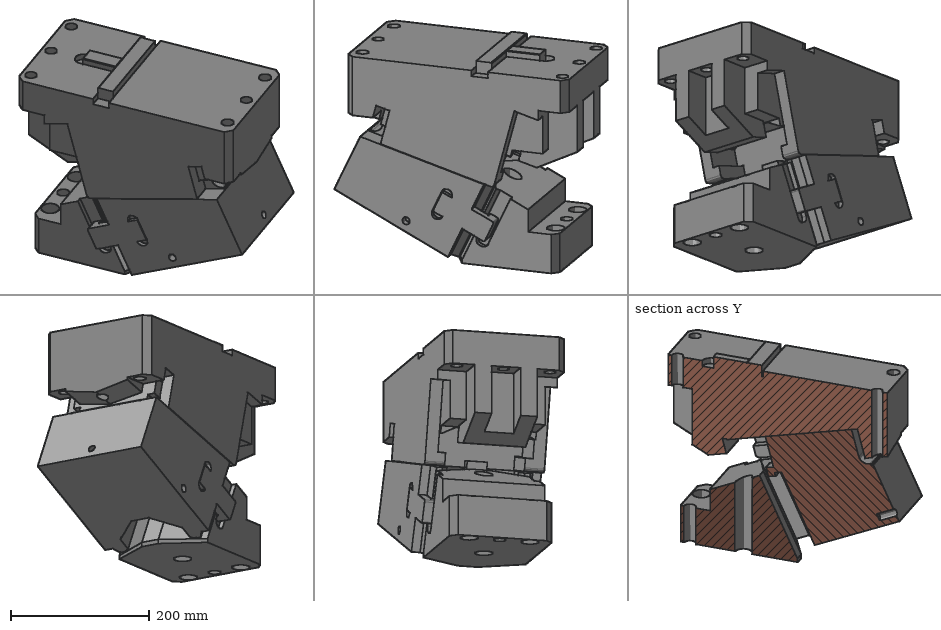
import cadquery as cq
import math


length = 359.0
width = 180.0
half_width = width / 2
key_top = 309.0
corner_chamfer = 10.0
corner_margin = 3.5
reach = 215.5

drive_angle = 25.4
cam_angle = 15.0
cos_d, sin_d = math.cos(math.radians(drive_angle)), math.sin(math.radians(drive_angle))
cos_c, sin_c = math.cos(math.radians(cam_angle)), math.sin(math.radians(cam_angle))
tan_c = sin_c / cos_c

slide_bottom_length = 194.3
slide_left_height = 129.3
slide_right_z = 94.8
slide_corner_x = length - slide_bottom_length * cos_d - slide_left_height * sin_d
slide_corner_z = slide_right_z - slide_bottom_length * sin_d + slide_left_height * cos_d
slide_top_length = slide_bottom_length / math.cos(math.radians(drive_angle - cam_angle))


def drive_point(u, v):
    """XZ point u along the drive slope and v up across it, from the slide's upper left corner."""
    return slide_corner_x + u * cos_d - v * sin_d, slide_corner_z + u * sin_d + v * cos_d


def cam_point(p, w):
    """XZ point p along the cam slope and w up across it, from the slide's upper left corner."""
    return slide_corner_x + p * cos_c - w * sin_c, slide_corner_z + p * sin_c + w * cos_c


def plate(points, y_low, y_high):
    """Solid with an XZ outline, between two Y values."""
    return cq.Workplane("XZ", origin=(0, y_low, 0)).polyline(points).close().extrude(y_low - y_high)


def wide_plate(points, half):
    """Solid with an XZ outline, centred on Y = 0."""
    return plate(points, -half, half)


def drive_block(u_range, v_range, y_range):
    """Block square to the drive slope."""
    (u0, u1), (v0, v1) = u_range, v_range
    corners = [drive_point(u0, v0), drive_point(u1, v0), drive_point(u1, v1), drive_point(u0, v1)]
    return plate(corners, *y_range)


def drive_prism(section, v_low, v_high):
    """Prism with a (u, y) section, running across the drive slope."""
    x, z = drive_point(0, v_low)
    plane = cq.Plane(origin=(x, 0, z), xDir=(cos_d, 0, sin_d), normal=(-sin_d, 0, cos_d))
    return cq.Workplane(plane).polyline(section).close().extrude(v_high - v_low)


def cam_prism(half_section, p_low, p_high):
    """Prism along the cam slope whose (y, w) section mirrors half_section about Y = 0."""
    x, z = cam_point(p_low, 0)
    plane = cq.Plane(origin=(x, 0, z), xDir=(0, 1, 0), normal=(cos_c, 0, sin_c))
    section = half_section + [(-y, w) for y, w in reversed(half_section) if y]
    return cq.Workplane(plane).polyline(section).close().extrude(p_high - p_low)


def edges_near(x, z, margin):
    """Selector of the edges near one XZ position, at any Y."""
    return cq.selectors.BoxSelector(
        (x - margin, -reach, z - margin), (x + margin, reach, z + margin)
    )


def drill_down(x, y, z_top, z_bottom, diameter):
    """Vertical hole tool."""
    return cq.Workplane("XY", origin=(x, y, z_bottom)).circle(diameter / 2).extrude(z_top - z_bottom)


def both_sides(make):
    """One solid at the -Y side and one at the +Y side; make takes the two Y signs in turn."""
    return make(-1).union(make(1))


def side_range(sign, inner, outer):
    """Low and high Y of a layer lying inner..outer from the middle, on one side."""
    return sorted((sign * inner, sign * outer))


ridge_u = 13.5
ridge_half = 14.5
base_half = 77.0
guide_edge_u = -18.0

rail_neck_half = 59.0
rail_wing_half = 70.0
rail_wing_bottom = 21.0
rail_shoulder = 47.5
rail_top = 57.5
rail_top_half = 49.2
rail_left = 38.8
rail_right = 178.0
rail_end_radius = 13.3
sill_height = 2.0
sill_right = 195.5
cavity_neck_half = 60.0
cavity_wing_half = 71.5
hook_top = 19.8
running_gap = 0.7


def base_guide(v_low, v_high):
    """Everything on the base side of the V guide."""
    section = [
        (-reach, -base_half), (guide_edge_u, -base_half), (ridge_u, -ridge_half),
        (ridge_u, ridge_half), (guide_edge_u, base_half), (-reach, base_half),
    ]
    return drive_prism(section, v_low, v_high)


holder_right = 341.0
holder_top = 299.5
flange_bottom = 250.0
web_left = 44.5
web_bottom = 179.0
cheek_left = -15.0
cheek_top = 125.0
cheek_radius = 5.5
slot_left = 165.2
slot_right = 186.8
slot_top = 54.5
foot_side_bottom = 210.0
foot_half = 54.0
foot_edge_w = 20.5
foot_ridge_w = 10.8
ceiling_lip = 7.5
cavity_left = -27.0
leg_width = 93.7
leg_tip = (62.5, 148.0)
leg_heel_run = 28.5
leg_notch_half = 22.0
leg_notch_depth = 37.0


def holder_outline():
    """XZ outline of flange, cheeks and right end."""
    x_notch, z_notch = cam_point(cheek_left, cheek_top)
    return [
        (0, holder_top), (0, flange_bottom), (web_left, flange_bottom),
        (web_left, z_notch - (x_notch - web_left) * tan_c), (x_notch, z_notch),
        cam_point(cheek_left, running_gap), cam_point(slot_left, running_gap),
        cam_point(slot_left, slot_top), cam_point(slot_right, slot_top),
        foot_corner(), (holder_right, foot_side_bottom), (holder_right, holder_top),
    ]


def foot_corner():
    """Where the slot wall meets the flat underside of the foot."""
    x_top, z_top = cam_point(slot_right, slot_top)
    return x_top + (z_top - foot_side_bottom) * tan_c, foot_side_bottom


def holder_body():
    """Flange, cheeks and right end, with rounded cheek corners and chamfered ends."""
    body = wide_plate(holder_outline(), half_width)
    body = body.edges("|Y").edges(edges_near(*cam_point(cheek_left, running_gap), corner_margin))
    body = body.fillet(cheek_radius)
    left_end = edges_near(0, (holder_top + flange_bottom) / 2, corner_margin)
    right_end = edges_near(holder_right, (holder_top + foot_side_bottom) / 2, corner_margin)
    for end in (left_end, right_end):
        body = body.edges("|Z").edges(end).chamfer(corner_chamfer)
    return body


def holder_web():
    """Web between the cheeks, from the leg to the guide cavity, with the ceiling lip."""
    lip_left = cheek_left - ceiling_lip
    x_ceiling, z_ceiling = cam_point(lip_left, rail_top)
    x_lip = x_ceiling - (web_bottom - z_ceiling) * tan_c
    points = [
        (web_left, flange_bottom), (web_left, web_bottom), (x_lip, web_bottom),
        cam_point(lip_left, rail_shoulder), cam_point(0, rail_shoulder), cam_point(0, cheek_top),
    ]
    return wide_plate(points, cavity_wing_half)


def holder_cavity():
    """T-shaped guide cavity, open at the left and into the slot."""
    section = [
        (cavity_neck_half, -rail_wing_bottom), (cavity_neck_half, hook_top), (cavity_wing_half, hook_top),
        (cavity_wing_half, rail_shoulder), (rail_wing_half, rail_shoulder), (rail_top_half, rail_top),
    ]
    return cam_prism(section, cavity_left, slot_right)


def holder_leg():
    """Nose at the left end, notched in the middle of its front."""
    tip_x, tip_z = leg_tip
    heel_x, heel_z = tip_x + leg_heel_run, tip_z + leg_heel_run * tan_c
    root_x = heel_x - (web_bottom - heel_z) * tan_c
    points = [
        (0, flange_bottom), (0, web_bottom), leg_tip, (heel_x, heel_z), (root_x, web_bottom),
        (root_x, flange_bottom),
    ]
    notch = cq.Workplane("XY").box(
        leg_notch_depth, 2 * leg_notch_half, flange_bottom, centered=(False, True, False)
    )
    return wide_plate(points, leg_width / 2).cut(notch)


def holder_foot():
    """V-shaped pad under the right end, parallel to the cam slope."""
    pad = cam_prism(
        [(foot_half, rail_top), (foot_half, foot_edge_w), (0, foot_ridge_w)], slot_right, 2 * reach
    )
    limit = cq.Workplane("XY").box(holder_right, 2 * foot_half, holder_top, centered=(False, True, False))
    return pad.intersect(limit)


def holder_keys(body):
    """Cross key and lengthwise key let into the top face."""
    cross_left, cross_right = 122.0, 147.3
    key_gap = 1.0
    cross_key_length = 146.0
    key_bottom = 290.5
    rail_key_left = 70.8
    rail_slot_left = 53.5
    rail_key_width = 25.0
    key_chamfer = 1.0
    slot_depth = holder_top - key_bottom
    cross_slot = cq.Workplane("XY", origin=(cross_left, 0, key_bottom)).box(
        cross_right - cross_left, reach, slot_depth, centered=(False, True, False)
    )
    round_end = drill_down(
        rail_slot_left + rail_key_width / 2, 0, holder_top, key_bottom, rail_key_width
    )
    straight_left = rail_slot_left + rail_key_width / 2
    rail_slot = cq.Workplane("XY", origin=(straight_left, 0, key_bottom)).box(
        cross_left - straight_left, rail_key_width, slot_depth, centered=(False, True, False)
    )
    cross_key = cq.Workplane("XY", origin=(cross_left, 0, key_bottom)).box(
        cross_right - cross_left - key_gap, cross_key_length, key_top - key_bottom, centered=(False, True, False)
    ).edges("<X and >Z").chamfer(key_chamfer)
    rail_key = cq.Workplane("XY", origin=(rail_key_left, 0, key_bottom)).box(
        cross_left - rail_key_left, rail_key_width, key_top - key_bottom, centered=(False, True, False)
    ).edges("|X and >Z").chamfer(key_chamfer)
    return body.cut(cross_slot).cut(rail_slot).cut(round_end).union(cross_key).union(rail_key)


def holder_holes(body):
    """Three mounting holes through each end of the flange."""
    left_x, left_pitch, left_diameter = 14.5, 70.0, 17.0
    right_x, right_pitch, right_diameter, right_middle_diameter = 324.5, 65.0, 18.0, 16.5
    for row in (-1, 0, 1):
        body = body.cut(drill_down(left_x, row * left_pitch, holder_top, 0, left_diameter))
        diameter = right_diameter if row else right_middle_diameter
        body = body.cut(drill_down(right_x, row * right_pitch, holder_top, 0, diameter))
    return body


def make_holder():
    body = holder_body().union(holder_web()).cut(holder_cavity())
    body = body.union(holder_leg()).union(holder_foot())
    return holder_holes(holder_keys(body))


bevel_inner, bevel_outer = 70.5, base_half
relief_section = [(15.8, -54.0), (48.5, -15.0), (48.5, 15.0), (15.8, 54.0)]
bevel_u = -10.5
tab_top, tab_bottom = -44.0, -78.5
tab_end = -38.0
hook_end = -24.0
hook_inner = 69.5
tab_inner = 77.2
tab_radius = 2.5
tab_search = 18.0


def slide_block():
    """Wedge block with the concave V guide and bevelled edges at its left end."""
    outline = [
        drive_point(0, 0), drive_point(0, -slide_left_height),
        drive_point(slide_bottom_length, -slide_left_height), cam_point(slide_top_length, 0),
    ]
    nose = drive_prism(
        [(0, -bevel_outer), (bevel_u, -bevel_inner), (bevel_u, bevel_inner), (0, bevel_outer)],
        -slide_left_height, 0,
    )
    relief_y = relief_section[-1][1]
    relief = drive_prism([(bevel_u, -relief_y), *relief_section, (bevel_u, relief_y)], -reach, reach)
    block = wide_plate(outline, half_width).union(nose)
    return block.cut(base_guide(-reach, reach)).cut(relief)


def slide_rail():
    """T rail along the cam slope, its neck rounded out into a low sill at its right end."""
    section = [
        (rail_neck_half, 0), (rail_neck_half, rail_wing_bottom), (rail_wing_half, rail_wing_bottom),
        (rail_wing_half, rail_shoulder), (rail_top_half, rail_top),
    ]
    bend = (1 - math.sqrt(0.5)) * rail_end_radius
    flare = (
        cq.Workplane("XZ", origin=(0, -rail_neck_half, 0))
        .moveTo(*cam_point(rail_right, 0))
        .lineTo(*cam_point(rail_right, sill_height + rail_end_radius))
        .threePointArc(
            cam_point(rail_right + bend, sill_height + bend),
            cam_point(rail_right + rail_end_radius, sill_height),
        )
        .lineTo(*cam_point(sill_right, sill_height))
        .lineTo(*cam_point(sill_right, 0))
        .close()
        .extrude(-2 * rail_neck_half)
    )
    return cam_prism(section, rail_left, rail_right).union(flare)


def slide_stop():
    """Small block on the front of the rail, over the hollow."""
    stop_half, stop_left, stop_bottom, stop_top = 15.0, 27.0, -5.5, 9.7
    section = [(stop_half, stop_bottom), (stop_half, stop_top)]
    return cam_prism(section, stop_left, rail_left)


def slide_tab(sign):
    """Tab reaching along the base, hooked into the base groove."""
    tab = drive_block((tab_end, 0), (tab_bottom, tab_top), side_range(sign, tab_inner, half_width))
    hook = drive_block((tab_end, hook_end), (tab_bottom, tab_top), side_range(sign, hook_inner, half_width))
    x_end, z_end = drive_point(tab_end, (tab_top + tab_bottom) / 2)
    corners = tab.union(hook).edges("|Y").edges(edges_near(x_end, z_end, tab_search)).edges("<X or <Z")
    return corners.fillet(tab_radius)


def slide_pocket(sign):
    """Round-ended pocket in the side, filled flush except for its two ends and a slit at its right."""
    centre = (193.0 - slide_corner_x, 91.0 - slide_corner_z)
    u = centre[0] * cos_d + centre[1] * sin_d
    v = centre[1] * cos_d - centre[0] * sin_d
    radius, half_straight, depth, slit = 8.5, 17.0, 7.2, 1.0
    y_range = side_range(sign, half_width - depth, half_width)
    tool = drive_block((u + radius - slit, u + radius), (v - half_straight, v + half_straight), y_range)
    for end in (-1, 1):
        disc = (
            cq.Workplane("XZ", origin=(0, y_range[0], 0))
            .center(*drive_point(u, v + end * half_straight))
            .circle(radius)
            .extrude(-depth)
        )
        inner = (v, v + end * half_straight)
        tool = tool.union(disc.cut(drive_block((u - radius, u + radius), inner, y_range)))
    return tool


def slide_pin_hole(sign):
    """Blind cross hole near the bottom of each side."""
    x, z, diameter, depth = 248.0, 59.3, 11.0, 13.0
    y_low = side_range(sign, half_width - depth, half_width)[0]
    return cq.Workplane("XZ", origin=(x, y_low, z)).circle(diameter / 2).extrude(-depth)


def slide_end_hole():
    """Blind hole square to the right end face."""
    x, diameter, depth = 352.7, 10.5, 28.7
    v = -slide_left_height + (length - x) / sin_d
    x_hole, z_hole = drive_point(slide_bottom_length, v)
    plane = cq.Plane(origin=(x_hole, 0, z_hole), xDir=(0, 1, 0), normal=(-cos_d, 0, -sin_d))
    return cq.Workplane(plane).circle(diameter / 2).extrude(depth)


def make_slide():
    body = slide_block().union(slide_rail()).union(slide_stop()).union(both_sides(slide_tab))
    for tool in (both_sides(slide_pocket), both_sides(slide_pin_hole), slide_end_hole()):
        body = body.cut(tool)
    return body


base_left = 19.5
base_right = 201.0
step_x, step_z = 64.5, 59.3
slope_start_z = 93.5
toe_height = 5.5
groove_left, groove_right = -42.0, -23.0
groove_floor = 69.0
groove_end = -93.0
groove_top = 36.0
groove_radius = 8.0
groove_search = 14.5
lip_start_u = -21.5
lip_end_u, lip_end_y = -15.8, 72.5


def base_body():
    """Stepped block with a sloped top, ending in the V guide above an upright toe."""
    slope_end_x = step_x + reach
    outline = [
        (base_left, 0), (base_left, step_z), (step_x, step_z), (step_x, slope_start_z),
        (slope_end_x, slope_start_z + reach * sin_d / cos_d), (slope_end_x, 0),
    ]
    block = wide_plate(outline, base_half).edges("|Z and <X").chamfer(corner_chamfer)
    toe_shift = (slide_corner_z - toe_height) * sin_d
    toe_edge_x = slide_corner_x + (guide_edge_u + toe_shift) / cos_d
    toe = [
        (0, -base_half), (toe_edge_x, -base_half), (base_right, -ridge_half), (base_right, ridge_half),
        (toe_edge_x, base_half), (0, base_half),
    ]
    footprint = cq.Workplane("XY").polyline(toe).close().extrude(reach)
    return block.intersect(base_guide(-reach, reach)).intersect(footprint)


def base_groove(sign):
    """Side groove for the slide's hook, open at the top, its lip sloped off above the tab."""
    groove = drive_block(
        (groove_left, groove_right), (groove_end, groove_top), side_range(sign, groove_floor, half_width)
    )
    x_end, z_end = drive_point((groove_left + groove_right) / 2, groove_end)
    groove = groove.edges("|Y").edges(edges_near(x_end, z_end, groove_search)).fillet(groove_radius)
    lip = [
        (groove_right, sign * groove_floor), (lip_start_u, sign * groove_floor), (lip_end_u, sign * lip_end_y),
        (lip_end_u, sign * half_width), (groove_right, sign * half_width),
    ]
    return groove.union(drive_prism(lip, tab_bottom, groove_top))


def make_base():
    body = base_body().cut(both_sides(base_groove))
    bolt_x, bolt_pitch, bolt_diameter, dowel_diameter = 33.8, 45.5, 26.0, 18.0
    slope_hole_x, slope_hole_diameter = 117.0, 26.0
    for side in (-1, 1):
        body = body.cut(drill_down(bolt_x, side * bolt_pitch, step_z, 0, bolt_diameter))
    body = body.cut(drill_down(bolt_x, 0, step_z, 0, dowel_diameter))
    return body.cut(drill_down(slope_hole_x, 0, reach, 0, slope_hole_diameter))


holder = make_holder()
slide = make_slide()
base = make_base()
result = cq.Compound.makeCompound([*holder.solids().vals(), *slide.solids().vals(), *base.solids().vals()])